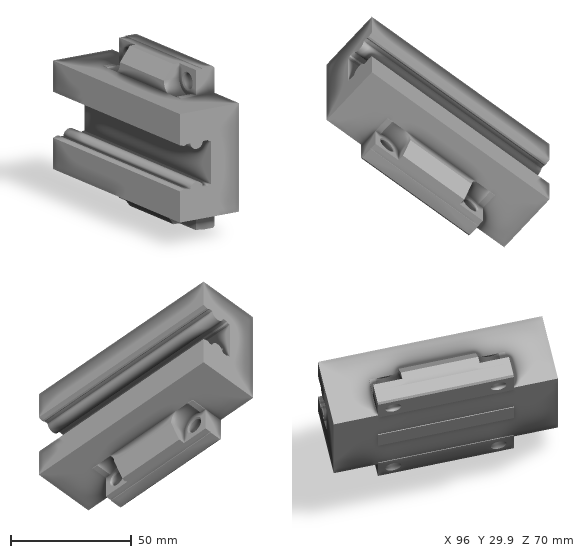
import cadquery as cq

block_length = 95.7
block_depth = 29.6
block_half_height = 23.5
channel_floor_depth = 13.9

groove_half_opening = 10.0
land_half_opening = 9.4
inner_land_end_depth = 15.1
inner_groove_start_depth = 15.6
outer_groove_end_depth = 26.1
outer_land_start_depth = 26.8
outer_land_end_depth = 27.6
rib_radius = 3.2
rib_depth = 21.2
rib_half_spacing = 10.3

flange_length = 58.0
flange_half_height = 34.99
flange_depth = 16.8
pad_height = 0.3
flange_pad_inner_edge = 22.0
back_chamfer = 0.8
step_depth = 6.0
step_drop = 0.3
slope_start_depth = 11.9

hole_x = 22.5
hole_z = 28.3
hole_diameter = 6.7
countersink_diameter = 8.0
countersink_depth = 0.6
spot_face_depth = 9.0
spot_face_radius = 6.0
spot_strip_height = 0.3

center_pad_height = 10.4
pin_diameter = 0.8
pin_length = 0.3
pin_depth = 18.8
pin_z = -8.5


def extrude_along_x(points, length):
    """Extrude a closed (Y, Z) outline symmetrically about X = 0."""
    return cq.Workplane("YZ").polyline(points).close().extrude(length / 2, both=True)


def box_between(x_range, y_range, z_range):
    """Axis-aligned box given by its lower and upper limits."""
    lower, upper = zip(x_range, y_range, z_range)
    size = [high - low for low, high in zip(lower, upper)]
    return cq.Workplane("XY").box(*size, centered=False).translate(lower)


def cylinder_along_y(x, z, radius, start_depth, end_depth):
    """Cylinder running from one depth below the mounting face to a deeper one."""
    return (
        cq.Workplane("XZ", origin=(0, -start_depth, 0))
        .center(x, z)
        .circle(radius)
        .extrude(end_depth - start_depth)
    )


def make_block():
    block = box_between(
        (-block_length / 2, block_length / 2),
        (-block_depth, 0),
        (-block_half_height, block_half_height),
    )
    upper_wall = [
        (-channel_floor_depth, land_half_opening),
        (-inner_land_end_depth, land_half_opening),
        (-inner_groove_start_depth, groove_half_opening),
        (-outer_groove_end_depth, groove_half_opening),
        (-outer_land_start_depth, land_half_opening),
        (-outer_land_end_depth, land_half_opening),
        (-block_depth, groove_half_opening),
    ]
    lower_wall = [(y, -z) for y, z in reversed(upper_wall)]
    block = block.cut(extrude_along_x(upper_wall + lower_wall, block_length))
    for side in (-1, 1):
        rib = (
            cq.Workplane("YZ")
            .center(-rib_depth, side * rib_half_spacing)
            .circle(rib_radius)
            .extrude(block_length / 2, both=True)
        )
        block = block.union(rib)
    return block


def make_spot_face_cutter(side):
    """Round spot face, opened towards the flange end and its outer edge."""
    inner_x = hole_x - spot_face_radius
    end_x = flange_length / 2
    depth_range = (-flange_depth, -spot_face_depth)
    round_part = cylinder_along_y(hole_x, hole_z, spot_face_radius, spot_face_depth, flange_depth)
    outer_opening = box_between((inner_x, end_x), depth_range, (hole_z, flange_half_height))
    end_opening = box_between(
        (hole_x, end_x), depth_range, (block_half_height + spot_strip_height, flange_half_height)
    )
    cutter = round_part.union(outer_opening).union(end_opening)
    return cutter if side > 0 else cutter.mirror("YZ")


def make_hole_cutter(side):
    """Through hole with a countersink at the spot face."""
    hole = cylinder_along_y(side * hole_x, hole_z, hole_diameter / 2, -pad_height, spot_face_depth)
    countersink = cq.Workplane("XY").add(
        cq.Solid.makeCone(
            countersink_diameter / 2,
            hole_diameter / 2,
            countersink_depth,
            pnt=cq.Vector(side * hole_x, -spot_face_depth, hole_z),
            dir=cq.Vector(0, 1, 0),
        )
    )
    return hole.union(countersink)


def make_upper_flange():
    stepped_half_height = flange_half_height - step_drop
    return extrude_along_x(
        [
            (pad_height, flange_pad_inner_edge),
            (pad_height, flange_half_height - back_chamfer),
            (pad_height - back_chamfer, flange_half_height),
            (-step_depth, flange_half_height),
            (-step_depth, stepped_half_height),
            (-slope_start_depth, stepped_half_height),
            (-flange_depth, hole_z),
            (-flange_depth, flange_pad_inner_edge),
        ],
        flange_length,
    )


def make_center_pad():
    return box_between(
        (-flange_length / 2, flange_length / 2),
        (-pad_height, pad_height),
        (-center_pad_height / 2, center_pad_height / 2),
    )


def make_end_pin():
    """Small round pin on the +X end of the lower rib."""
    return (
        cq.Workplane("YZ", origin=(block_length / 2, -pin_depth, pin_z))
        .circle(pin_diameter / 2)
        .extrude(pin_length)
    )


upper_flange = make_upper_flange()
result = (
    make_block()
    .union(upper_flange)
    .union(upper_flange.mirror("XY"))
    .union(make_center_pad())
    .union(make_end_pin())
)

for side in (-1, 1):
    cutter = make_spot_face_cutter(side).union(make_hole_cutter(side))
    result = result.cut(cutter).cut(cutter.mirror("XY"))